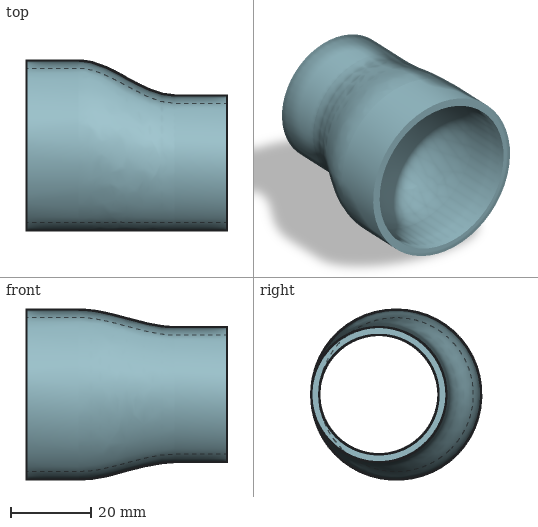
import cadquery as cq

total_length = 50.0
large_diameter = 42.4
small_diameter = 33.7
wall = 2.0
collar_length = 13.1
section_count = 9

transition_length = total_length - 2 * collar_length
small_end_offset = (small_diameter - large_diameter) / 2


def circle_wire(x, y, radius):
    """Circle in a plane square to X, centred at (x, y, 0)."""
    return cq.Wire.makeCircle(radius, cq.Vector(x, y, 0), cq.Vector(1, 0, 0))


def straight_tube(x, y, radius, length):
    """Solid cylinder along +X from (x, y, 0)."""
    return cq.Workplane(cq.Solid.makeCylinder(radius, length, cq.Vector(x, y, 0), cq.Vector(1, 0, 0)))


def transition(large_radius, small_radius):
    """Smooth S-shaped solid between the collars, level with X at both ends."""
    sections = []
    for i in range(section_count):
        along = i / (section_count - 1)
        blend = along**2 * (3 - 2 * along)
        x = collar_length + along * transition_length
        y = blend * small_end_offset
        radius = large_radius + blend * (small_radius - large_radius)
        sections.append(circle_wire(x, y, radius))
    return cq.Workplane(cq.Solid.makeLoft(sections))


def reducer_body(inset):
    """Solid reducer whose surface lies the given inset inside the outer skin."""
    large_radius = large_diameter / 2 - inset
    small_radius = small_diameter / 2 - inset
    large_collar = straight_tube(0, 0, large_radius, collar_length)
    small_collar = straight_tube(total_length - collar_length, small_end_offset, small_radius, collar_length)
    return large_collar.union(transition(large_radius, small_radius)).union(small_collar)


result = reducer_body(0).cut(reducer_body(wall))